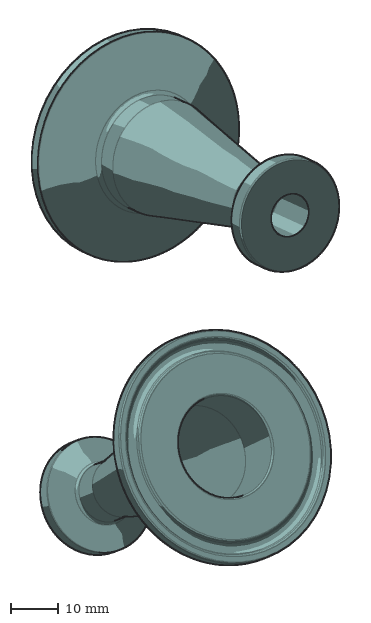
import cadquery as cq
import math

LENGTH = 63.5
REDUCER_START = 12.7
REDUCER_END = 50.8

LARGE_FLANGE_RADIUS = 50.39 / 2
LARGE_TUBE_RADIUS = 25.4 / 2
LARGE_BORE_RADIUS = 22.1 / 2
LARGE_RIM_WIDTH = 2.8
LARGE_NECK_FILLET = 1.2

SMALL_FLANGE_RADIUS = 24.99 / 2
SMALL_TUBE_RADIUS = 12.7 / 2
SMALL_BORE_RADIUS = 9.4 / 2
SMALL_RIM_WIDTH = 3.5
SMALL_NECK_FILLET = 0.8

CLAMP_ANGLE = math.radians(20)
FACE_RIM_FILLET = 0.3
BACK_RIM_FILLET = 0.15
BORE_FILLET = 0.4

LARGE_SLOPE_END = LARGE_RIM_WIDTH + (LARGE_FLANGE_RADIUS - LARGE_TUBE_RADIUS) * math.tan(CLAMP_ANGLE)
SMALL_RIM_START = LENGTH - SMALL_RIM_WIDTH
SMALL_SLOPE_START = SMALL_RIM_START - (SMALL_FLANGE_RADIUS - SMALL_TUBE_RADIUS) * math.tan(CLAMP_ANGLE)

GROOVE_CENTRE_RADIUS = 21.9
GROOVE_HALF_WIDTH = 1.54
GROOVE_WALL_ANGLE = math.radians(60)
GROOVE_ARC_RADIUS = 1.33
GROOVE_EDGE_FILLET = 0.5

EDGE_MATCH_TOLERANCE = 0.01


def revolve_about_x(section):
    """Revolve a closed section, drawn as (axial position, radius), a full turn about the X axis."""
    return section.revolve(360, (0, 0, 0), (1, 0, 0))


def circles_at(solid, x, radius):
    """Circular edges of the solid with the given axial position and radius."""
    edges = [
        edge
        for edge in solid.edges("%CIRCLE").vals()
        if abs(edge.Center().x - x) < EDGE_MATCH_TOLERANCE
        and abs(edge.radius() - radius) < EDGE_MATCH_TOLERANCE
    ]
    return solid.newObject(edges)


def make_body():
    """Revolve the half section between the bore and the outer surface."""
    outline = [
        (0, LARGE_BORE_RADIUS),
        (0, LARGE_FLANGE_RADIUS),
        (LARGE_RIM_WIDTH, LARGE_FLANGE_RADIUS),
        (LARGE_SLOPE_END, LARGE_TUBE_RADIUS),
        (REDUCER_START, LARGE_TUBE_RADIUS),
        (REDUCER_END, SMALL_TUBE_RADIUS),
        (SMALL_SLOPE_START, SMALL_TUBE_RADIUS),
        (SMALL_RIM_START, SMALL_FLANGE_RADIUS),
        (LENGTH, SMALL_FLANGE_RADIUS),
        (LENGTH, SMALL_BORE_RADIUS),
        (REDUCER_END, SMALL_BORE_RADIUS),
        (REDUCER_START, LARGE_BORE_RADIUS),
    ]
    return revolve_about_x(cq.Workplane("XY").polyline(outline).close())


def round_edges(body):
    """Round the flange rims, the mouth of the bore and the necks behind the flanges."""
    rounds = [
        (0, LARGE_FLANGE_RADIUS, FACE_RIM_FILLET),
        (LARGE_RIM_WIDTH, LARGE_FLANGE_RADIUS, BACK_RIM_FILLET),
        (0, LARGE_BORE_RADIUS, BORE_FILLET),
        (LARGE_SLOPE_END, LARGE_TUBE_RADIUS, LARGE_NECK_FILLET),
        (SMALL_SLOPE_START, SMALL_TUBE_RADIUS, SMALL_NECK_FILLET),
        (SMALL_RIM_START, SMALL_FLANGE_RADIUS, BACK_RIM_FILLET),
        (LENGTH, SMALL_FLANGE_RADIUS, FACE_RIM_FILLET),
    ]
    for x, radius, fillet in rounds:
        body = circles_at(body, x, radius).fillet(fillet)
    return body


def cut_gasket_groove(body):
    """Cut the ring groove, straight walls tangent to a round bottom, and round its edges."""
    arc_centre_x = (
        GROOVE_HALF_WIDTH * math.tan(GROOVE_WALL_ANGLE) - GROOVE_ARC_RADIUS / math.cos(GROOVE_WALL_ANGLE)
    )
    wall_end_x = arc_centre_x + GROOVE_ARC_RADIUS * math.cos(GROOVE_WALL_ANGLE)
    wall_end_offset = GROOVE_ARC_RADIUS * math.sin(GROOVE_WALL_ANGLE)
    inner_radius = GROOVE_CENTRE_RADIUS - GROOVE_HALF_WIDTH
    outer_radius = GROOVE_CENTRE_RADIUS + GROOVE_HALF_WIDTH
    section = (
        cq.Workplane("XY")
        .moveTo(0, inner_radius)
        .lineTo(wall_end_x, GROOVE_CENTRE_RADIUS - wall_end_offset)
        .threePointArc(
            (arc_centre_x + GROOVE_ARC_RADIUS, GROOVE_CENTRE_RADIUS),
            (wall_end_x, GROOVE_CENTRE_RADIUS + wall_end_offset),
        )
        .lineTo(0, outer_radius)
        .close()
    )
    body = body.cut(revolve_about_x(section))
    for edge_radius in (inner_radius, outer_radius):
        body = circles_at(body, 0, edge_radius).fillet(GROOVE_EDGE_FILLET)
    return body


result = cut_gasket_groove(round_edges(make_body()))